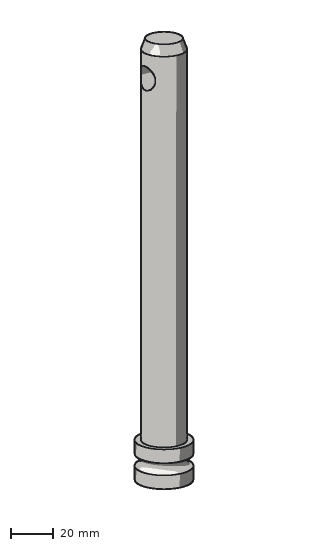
import cadquery as cq

total_length = 222.0
shank_diameter = 22.0
shank_radius = shank_diameter / 2

head_diameter = 28.0
head_radius = head_diameter / 2
head_length = 20.0
groove_radius = 3.0
groove_center_z = head_length / 2

taper_length = 5.5
tip_diameter = 18.0
tip_radius = tip_diameter / 2

cross_hole_diameter = 12.0
cross_hole_from_tip = 18.0
cross_hole_z = total_length - cross_hole_from_tip


def make_pin_body():
    """Revolve the half profile of head, groove, shank and taper about Z."""
    return (
        cq.Workplane("XZ")
        .moveTo(0, 0)
        .lineTo(head_radius, 0)
        .lineTo(head_radius, groove_center_z - groove_radius)
        .threePointArc(
            (head_radius - groove_radius, groove_center_z),
            (head_radius, groove_center_z + groove_radius),
        )
        .lineTo(head_radius, head_length)
        .lineTo(shank_radius, head_length)
        .lineTo(shank_radius, total_length - taper_length)
        .lineTo(tip_radius, total_length)
        .lineTo(0, total_length)
        .close()
        .revolve(360, (0, 0, 0), (0, 1, 0))
    )


def make_cross_hole():
    """Cylinder along Y that passes through the whole shank."""
    return (
        cq.Workplane("XZ")
        .center(0, cross_hole_z)
        .circle(cross_hole_diameter / 2)
        .extrude(shank_diameter, both=True)
    )


result = make_pin_body().cut(make_cross_hole())